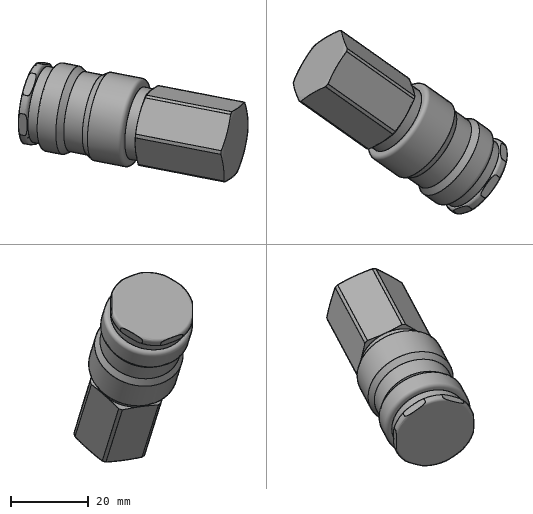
import cadquery as cq
import math

LENGTH = 55.5

FLANGE_DIAMETER = 22.0
FLANGE_WIDTH = 2.5
FLANGE_ROUNDING = 0.8
FLANGE_ACROSS_FLATS = 21.0

FRONT_NECK_DIAMETER = 20.0
REAR_NECK_DIAMETER = 18.9

SLEEVE_DIAMETER = 23.15
SLEEVE_START = 5.3
SLEEVE_LENGTH = 23.4
SLEEVE_ROUNDING = 1.0
FRONT_RIM_WIDTH = 5.4
GROOVE_DIAMETER = 21.0
GROOVE_WIDTH = 5.05
GROOVE_TAPER = 1.8

HEX_START = 31.5
HEX_ACROSS_FLATS = 19.0
HEX_CORNER_DIAMETER = 21.35
HEX_END_DIAMETER = HEX_ACROSS_FLATS
HEX_CHAMFER_ANGLE = 15.0
HEX_TURN = 16.5

HEX_SIDES = 6
HALF_SECTOR = 180 / HEX_SIDES


def x_cylinder(diameter, start, end):
    """Solid cylinder along X between two stations."""
    return cq.Workplane("YZ", origin=(start, 0, 0)).circle(diameter / 2).extrude(end - start)


def x_hexagon(across_flats, start, end, turn):
    """Hexagonal bar along X, with a corner on Y before it is turned about X."""
    corner_diameter = across_flats / math.cos(math.radians(HALF_SECTOR))
    bar = cq.Workplane("YZ", origin=(start, 0, 0)).polygon(HEX_SIDES, corner_diameter).extrude(end - start)
    return bar.rotate((0, 0, 0), (1, 0, 0), turn)


def make_flange():
    """Rounded disc with a wrench flat on each Y side and four more at 60 degree steps."""
    disc = x_cylinder(FLANGE_DIAMETER, 0, FLANGE_WIDTH).edges().fillet(FLANGE_ROUNDING)
    flats = x_hexagon(FLANGE_ACROSS_FLATS, 0, FLANGE_WIDTH, HALF_SECTOR)
    return disc.intersect(flats)


def make_rear_hexagon():
    """Hexagonal bar whose corners are cut by a cylinder with chamfered ends."""
    chamfer_height = (HEX_CORNER_DIAMETER - HEX_END_DIAMETER) / 2
    chamfer_length = chamfer_height * math.tan(math.radians(HEX_CHAMFER_ANGLE))
    envelope = (
        cq.Workplane("XY")
        .moveTo(HEX_START, 0)
        .lineTo(HEX_START, HEX_END_DIAMETER / 2)
        .lineTo(HEX_START + chamfer_length, HEX_CORNER_DIAMETER / 2)
        .lineTo(LENGTH - chamfer_length, HEX_CORNER_DIAMETER / 2)
        .lineTo(LENGTH, HEX_END_DIAMETER / 2)
        .lineTo(LENGTH, 0)
        .close()
        .revolve(360, (0, 0, 0), (1, 0, 0))
    )
    bar = x_hexagon(HEX_ACROSS_FLATS, HEX_START, LENGTH, -HEX_TURN)
    return bar.intersect(envelope)


def make_core():
    """Flange, stepped neck and rear hexagon in one piece."""
    front_neck = x_cylinder(FRONT_NECK_DIAMETER, FLANGE_WIDTH, SLEEVE_START)
    rear_neck = x_cylinder(REAR_NECK_DIAMETER, SLEEVE_START, HEX_START)
    return make_flange().union(front_neck).union(rear_neck).union(make_rear_hexagon())


def make_sleeve():
    """Ring around the rear neck, with rounded ends and a tapered grip groove."""
    bore_radius = REAR_NECK_DIAMETER / 2
    rim_radius = SLEEVE_DIAMETER / 2
    groove_radius = GROOVE_DIAMETER / 2
    sleeve_end = SLEEVE_START + SLEEVE_LENGTH
    taper_start = SLEEVE_START + FRONT_RIM_WIDTH
    groove_start = taper_start + GROOVE_TAPER
    groove_end = groove_start + GROOVE_WIDTH
    ring = (
        cq.Workplane("XY")
        .moveTo(SLEEVE_START, bore_radius)
        .lineTo(SLEEVE_START, rim_radius)
        .lineTo(taper_start, rim_radius)
        .lineTo(groove_start, groove_radius)
        .lineTo(groove_end, groove_radius)
        .lineTo(groove_end + GROOVE_TAPER, rim_radius)
        .lineTo(sleeve_end, rim_radius)
        .lineTo(sleeve_end, bore_radius)
        .close()
        .revolve(360, (0, 0, 0), (1, 0, 0))
    )
    outer_end_edges = cq.selectors.RadiusNthSelector(-1)
    return (
        ring.faces("<X").edges(outer_end_edges).fillet(SLEEVE_ROUNDING)
        .faces(">X").edges(outer_end_edges).fillet(SLEEVE_ROUNDING)
    )


core = make_core()
sleeve = make_sleeve()

result = cq.Compound.makeCompound([core.val(), sleeve.val()])